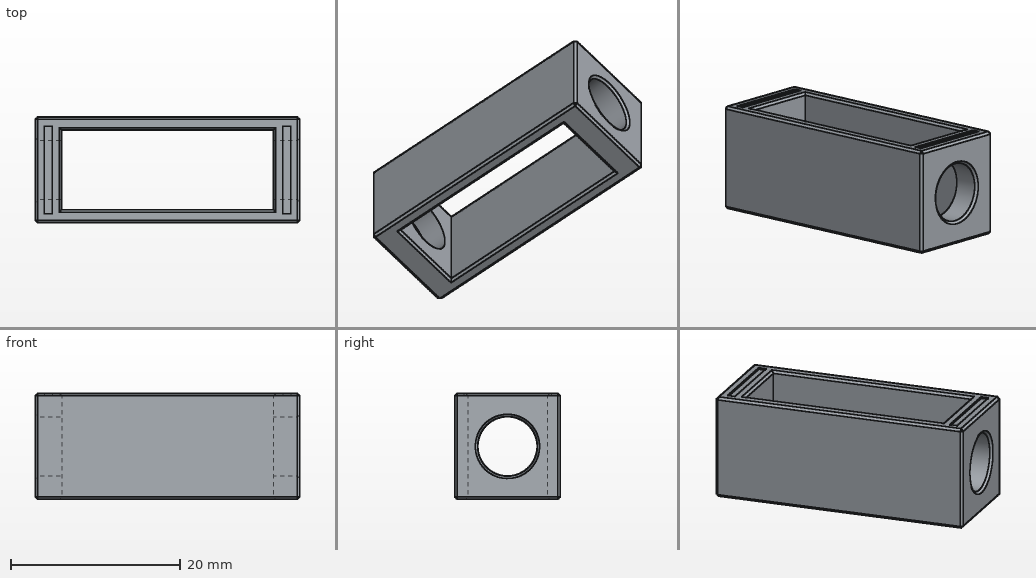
import cadquery as cq

length = 31.25
side = 12.5
end_wall = 3.125
side_wall = 1.5625
edge_chamfer = 0.3
bore_diameter = 7.0
label_width = 0.9375
label_length = 10.3125
label_depth = 0.2

window_length = length - 2 * end_wall
window_width = side - 2 * side_wall
label_offset = (length - end_wall) / 2


def make_block():
    """Square bar with every outer edge chamfered."""
    return cq.Workplane("XY").box(length, side, side).edges().chamfer(edge_chamfer)


def make_window_mouth():
    """Tapered plug that chamfers the window where it meets the top face."""
    return (
        cq.Workplane("XY", origin=(0, 0, side / 2))
        .rect(window_length + 2 * edge_chamfer, window_width + 2 * edge_chamfer)
        .workplane(offset=-edge_chamfer)
        .rect(window_length, window_width)
        .loft(ruled=True)
    )


def cut_window(body):
    """Rectangular opening through the height, chamfered at both mouths."""
    window = cq.Workplane("XY").box(window_length, window_width, side)
    top_mouth = make_window_mouth()
    bottom_mouth = top_mouth.mirror("XY")
    return body.cut(window).cut(top_mouth).cut(bottom_mouth)


def cut_bores(body):
    """Coaxial bores through both end walls, chamfered at the outer mouths."""
    bore_radius = bore_diameter / 2
    half_length = length / 2
    bore = (
        cq.Workplane("XY")
        .moveTo(-half_length, 0)
        .lineTo(-half_length, bore_radius + edge_chamfer)
        .lineTo(-half_length + edge_chamfer, bore_radius)
        .lineTo(half_length - edge_chamfer, bore_radius)
        .lineTo(half_length, bore_radius + edge_chamfer)
        .lineTo(half_length, 0)
        .close()
        .revolve(360, (0, 0, 0), (1, 0, 0))
    )
    return body.cut(bore)


def cut_label_recesses(body):
    """Shallow rectangular label recess in the top of each end wall."""
    recesses = (
        cq.Workplane("XY", origin=(0, 0, side / 2))
        .pushPoints([(-label_offset, 0), (label_offset, 0)])
        .rect(label_width, label_length)
        .extrude(-label_depth)
    )
    return body.cut(recesses)


result = make_block()
result = cut_window(result)
result = cut_bores(result)
result = cut_label_recesses(result)